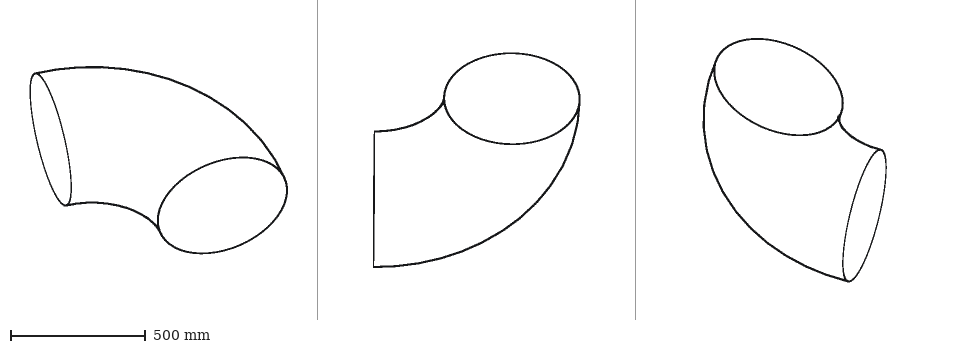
import cadquery as cq

overall_length = 762.0
wall_thickness = 4.0
bend_angle = 90.0
bend_to_diameter = 1.0

outer_diameter = overall_length / (bend_to_diameter + 0.5)
outer_radius = outer_diameter / 2
inner_radius = outer_radius - wall_thickness
bend_radius = bend_to_diameter * outer_diameter


def make_elbow():
    """Revolve the pipe ring about the Z axis, from the open end facing -Y to the one facing +X."""
    pipe_ring = (
        cq.Workplane("XZ")
        .center(-bend_radius, 0)
        .circle(outer_radius)
        .circle(inner_radius)
    )
    axis_start = (bend_radius, 0)
    axis_end = (bend_radius, -1)
    return pipe_ring.revolve(bend_angle, axis_start, axis_end)


result = make_elbow()